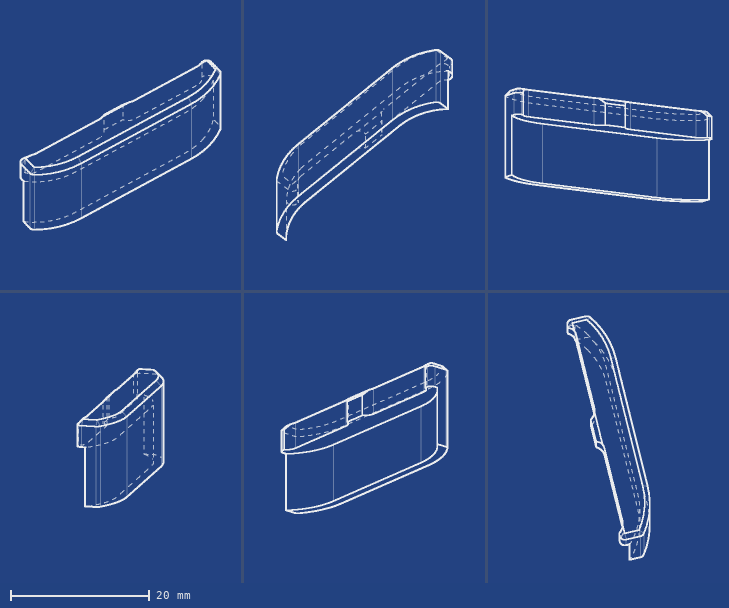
import cadquery as cq
import math

depth = 5.7
length = 33.91
height = 12.8

head_height = 4.0
skirt_height = height - head_height
skirt_thickness = 1.5

flat_length = 19.7
bend_radius = 11.6
corner_radius = 0.76

chamfer_drop = 0.8
chamfer_width = 0.75

recess_depth = 0.88
recess_radius = 1.6
middle_pad_width = 3.4
end_pad_width = 1.15

half_length = length / 2
half_flat = flat_length / 2
bend_center_x = depth - bend_radius


def bend_x(radius, y):
    """X at distance y from the middle on a bend of the given radius."""
    return bend_center_x + math.sqrt(radius**2 - (y - half_flat) ** 2)


def bowed_prism(back_x, radius, prism_height):
    """Upright prism with a straight back and a front wall that bends back at both ends."""
    wall_x = bend_center_x + radius
    end_x = bend_x(radius, half_length)
    middle_y = (half_flat + half_length) / 2
    middle_x = bend_x(radius, middle_y)
    return (
        cq.Workplane("XY")
        .moveTo(back_x, -half_length)
        .lineTo(end_x, -half_length)
        .threePointArc((middle_x, -middle_y), (wall_x, -half_flat))
        .lineTo(wall_x, half_flat)
        .threePointArc((middle_x, middle_y), (end_x, half_length))
        .lineTo(back_x, half_length)
        .close()
        .extrude(prism_height)
    )


def make_body(body_height):
    """Bowed prism of the full depth with its four upright corners rounded."""
    body = bowed_prism(0, bend_radius, body_height)
    return body.edges("|Z").edges("<Y or >Y").fillet(corner_radius)


def make_recess():
    """Recess between the middle pad and the end pad on the +Y side."""
    arc_angle = math.acos(1 - recess_depth / recess_radius)
    arc_run = recess_radius * math.sin(arc_angle)
    mid_x = recess_depth - recess_radius * (1 - math.cos(arc_angle / 2))
    mid_run = arc_run - recess_radius * math.sin(arc_angle / 2)
    start_y = middle_pad_width / 2
    end_y = half_length - end_pad_width
    return (
        cq.Workplane("XY")
        .moveTo(0, start_y)
        .threePointArc((mid_x, start_y + mid_run), (recess_depth, start_y + arc_run))
        .lineTo(recess_depth, end_y - arc_run)
        .threePointArc((mid_x, end_y - mid_run), (0, end_y))
        .close()
        .extrude(head_height)
    )


def make_head():
    """Chamfered head with the two recesses that leave three contact pads."""
    head = make_body(head_height).faces(">Z").chamfer(chamfer_drop, chamfer_width)
    recess = make_recess()
    head = head.cut(recess).cut(recess.mirror("XZ"))
    return head.translate((0, 0, skirt_height))


def make_skirt():
    """Thin wall below the head, of even thickness along the bowed outer face."""
    hollow = bowed_prism(-depth, bend_radius - skirt_thickness, skirt_height)
    return make_body(skirt_height).cut(hollow)


result = make_head().union(make_skirt())